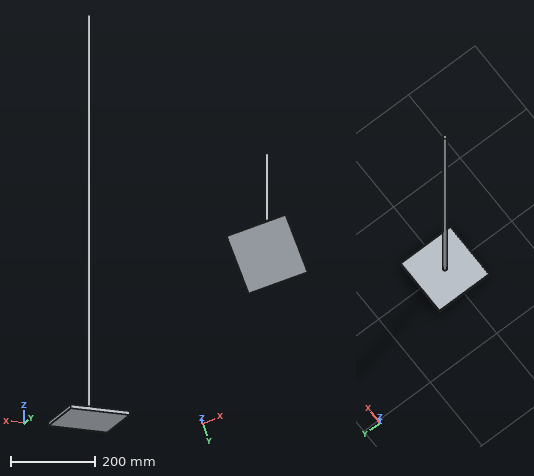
import cadquery as cq

total_height = 1010.0
base_side = 150.0
base_thickness = 10.0
rod_diameter = 10.0

base = cq.Workplane("XY").box(base_side, base_side, base_thickness, centered=(True, True, False))

rod_length = total_height - base_thickness
rod = cq.Workplane("XY").workplane(offset=base_thickness).circle(rod_diameter / 2).extrude(rod_length)

result = base.union(rod)